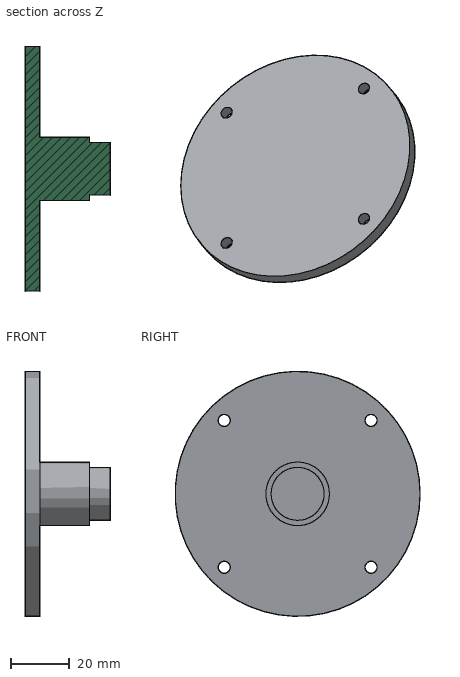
import cadquery as cq

flange_diameter = 83.5
flange_thickness = 5.0
boss_diameter = 21.6
boss_length = 16.95
spigot_diameter = 18.0
total_length = 29.0
hole_diameter = 4.0
hole_spacing = 50.0

boss_end = flange_thickness + boss_length
spigot_length = total_length - boss_end


def disc(start, length, diameter):
    """Cylinder on the part's axis, growing toward +X from start."""
    return cq.Workplane("YZ", origin=(start, 0, 0)).circle(diameter / 2).extrude(length)


flange = disc(0, flange_thickness, flange_diameter)
boss = disc(flange_thickness, boss_length, boss_diameter)
spigot = disc(boss_end, spigot_length, spigot_diameter)

mounting_holes = (
    cq.Workplane("YZ")
    .rect(hole_spacing, hole_spacing, forConstruction=True)
    .vertices()
    .circle(hole_diameter / 2)
    .extrude(flange_thickness)
)

result = flange.cut(mounting_holes).union(boss).union(spigot)